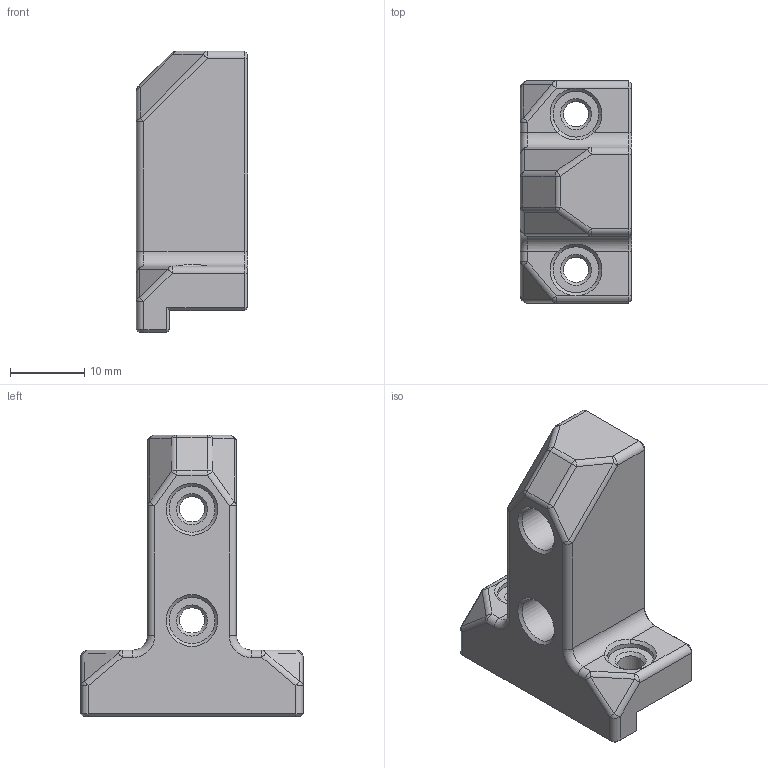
import cadquery as cq

DEPTH = 15.0
BASE_WIDTH = 30.0
HEIGHT = 38.0
COLUMN_WIDTH = 12.0
BASE_TOP = 9.0
LIP_HEIGHT = 3.0
LIP_DEPTH = 4.5

JUNCTION_RADIUS = 2.0
EDGE_RADIUS = 1.0
EDGE_CHAMFER = 0.4

TOP_BEVEL = 5.0
SIDE_BEVEL = 3.5
CORNER_CUT_X = 5.0
CORNER_CUT_Y = 6.0
CORNER_CUT_Z = 5.0

HOLE_DIAMETER = 3.4
BORE_DIAMETER = 6.2
HOLE_CHAMFER = 0.4
COLUMN_HOLE_HEIGHTS = (13.0, 28.0)
COLUMN_BORE_DEPTH = 10.0
BASE_HOLE_X = DEPTH / 2
BASE_HOLE_Y = 10.5
BASE_BORE_DEPTH = 1.0
MOUTH_CLEARANCE = 1.0
MOUTH_SEARCH = 0.1

TOLERANCE = 1e-3


def make_blank():
    """T-shaped block with a lip under the front and concave fillets beside the column."""
    base = cq.Workplane("XY").box(DEPTH, BASE_WIDTH, BASE_TOP, centered=(False, True, False))
    column = cq.Workplane("XY").box(DEPTH, COLUMN_WIDTH, HEIGHT, centered=(False, True, False))
    step = (
        cq.Workplane("XY")
        .box(DEPTH, BASE_WIDTH, LIP_HEIGHT, centered=(False, True, False))
        .translate((LIP_DEPTH, 0, 0))
    )
    half_width = COLUMN_WIDTH / 2
    junctions = cq.selectors.BoxSelector(
        (0, -half_width - TOLERANCE, BASE_TOP - TOLERANCE),
        (DEPTH, half_width + TOLERANCE, BASE_TOP + TOLERANCE),
    )
    return base.union(column).cut(step).edges("|X").edges(junctions).fillet(JUNCTION_RADIUS)


def bevel_column_top(body):
    """Slope the top front edge, then bevel both sides of that slope."""
    body = body.faces(">Z").edges("<X").chamfer(TOP_BEVEL)
    slope_sides = cq.selectors.ParallelDirSelector(cq.Vector(1, 0, 1))
    return body.edges(slope_sides).chamfer(SIDE_BEVEL)


def corner_cutter(side):
    """Tetrahedron that removes the upper front corner of the base on one side (+1 or -1)."""
    y_corner = side * BASE_WIDTH / 2
    corner = cq.Vector(0, y_corner, BASE_TOP)
    on_side = cq.Vector(CORNER_CUT_X, y_corner, BASE_TOP)
    on_front = cq.Vector(0, y_corner - side * CORNER_CUT_Y, BASE_TOP)
    below = cq.Vector(0, y_corner, BASE_TOP - CORNER_CUT_Z)
    triangles = (
        (corner, on_side, on_front),
        (corner, on_front, below),
        (corner, below, on_side),
        (on_side, below, on_front),
    )
    outlines = [cq.Wire.makePolygon(triangle, close=True) for triangle in triangles]
    faces = [cq.Face.makeFromWires(outline) for outline in outlines]
    return cq.Workplane(cq.Solid.makeSolid(cq.Shell.makeShell(faces)).fix())


def cut_base_corners(body):
    """Bevel the upper front corner of the base on both sides."""
    for side in (-1, 1):
        body = body.cut(corner_cutter(side))
    return body


def is_back_or_underside(edge):
    """True for edges in the back face or around the stepped underside."""
    box = edge.BoundingBox()
    return box.xmin > DEPTH - TOLERANCE or box.zmax < LIP_HEIGHT + TOLERANCE


def is_rounded(edge):
    """True for front and upper outer edges; full-depth lines only border the concave fillets."""
    full_depth = edge.BoundingBox().xlen > DEPTH - TOLERANCE
    return not is_back_or_underside(edge) and not full_depth


def is_chamfered(edge):
    """True for back and underside edges, except the concave corner between lip and base."""
    center = edge.Center()
    in_lip_wall = abs(center.x - LIP_DEPTH) < TOLERANCE
    at_lip_top = abs(center.z - LIP_HEIGHT) < TOLERANCE
    return is_back_or_underside(edge) and not (in_lip_wall and at_lip_top)


def soften_edges(body):
    """Round the front and upper edges, then chamfer the back outline and the stepped underside."""
    rounded = body.edges().filter(is_rounded).fillet(EDGE_RADIUS)
    return rounded.edges().filter(is_chamfered).chamfer(EDGE_CHAMFER)


def hole_cutter(length, bore_depth):
    """Counterbored hole running down from Z = 0, its bore extended above to clear the mouth."""
    hole_radius = HOLE_DIAMETER / 2
    bore_radius = BORE_DIAMETER / 2
    profile = [
        (0, MOUTH_CLEARANCE),
        (bore_radius, MOUTH_CLEARANCE),
        (bore_radius, -bore_depth),
        (hole_radius + HOLE_CHAMFER, -bore_depth),
        (hole_radius, -bore_depth - HOLE_CHAMFER),
        (hole_radius, -length),
        (0, -length),
    ]
    return cq.Workplane("XZ").polyline(profile).close().revolve(360, (0, 0), (0, 1))


def chamfer_mouth(body, mouth):
    """Chamfer the bore edge around a mouth, following any curved surface it crosses."""
    center = cq.Vector(*mouth)
    bore_radius = BORE_DIAMETER / 2

    def is_mouth_edge(edge):
        distance = (edge.startPoint() - center).Length
        return abs(distance - bore_radius) < MOUTH_SEARCH and edge.geomType() != "LINE"

    return body.edges().filter(is_mouth_edge).chamfer(HOLE_CHAMFER)


def drill_column(body):
    """Counterbored holes through the column from the front."""
    cutter = hole_cutter(DEPTH, COLUMN_BORE_DEPTH).rotate((0, 0, 0), (0, 1, 0), -90)
    for height in COLUMN_HOLE_HEIGHTS:
        body = body.cut(cutter.translate((0, 0, height)))
        body = chamfer_mouth(body, (0, 0, height))
    return body


def drill_base(body):
    """Counterbored holes down through the base, one on each side of the column."""
    cutter = hole_cutter(BASE_TOP, BASE_BORE_DEPTH)
    for side in (-1, 1):
        mouth = (BASE_HOLE_X, side * BASE_HOLE_Y, BASE_TOP)
        body = body.cut(cutter.translate(mouth))
        body = chamfer_mouth(body, mouth)
    return body


result = make_blank()
result = bevel_column_top(result)
result = cut_base_corners(result)
result = soften_edges(result)
result = drill_column(result)
result = drill_base(result)
result = cq.Workplane(result.val().fix().Solids()[0])